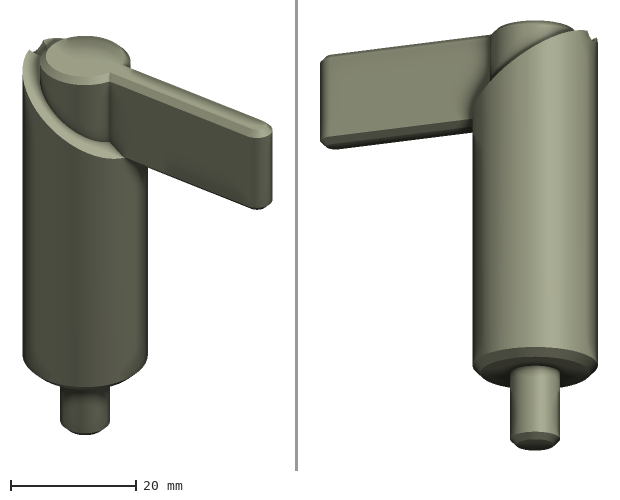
import cadquery as cq
import math

total_height = 69.0
housing_bottom = 12.0

housing_radius = 10.0
housing_chamfer = 1.25
slope_angle = 33.0
slope_high = 67.6
notch_radius = 2.0
notch_floor = 66.3

head_radius = 7.25
pin_radius = 4.0
lever_height = 15.0
lever_width = 5.0
lever_reach = 37.0
lever_chamfer = 1.0
pin_chamfer = 1.0
lever_bottom = total_height - lever_height


def make_lever():
    """Head and round-ended lever with chamfered rims, on a pin that runs down the axis."""
    tip_radius = lever_width / 2
    tip_centre = lever_reach - tip_radius
    head = cq.Workplane("XY").circle(head_radius).extrude(lever_height)
    arm = (
        cq.Workplane("XY")
        .moveTo(0, -tip_radius)
        .lineTo(tip_centre, -tip_radius)
        .threePointArc((lever_reach, 0), (tip_centre, tip_radius))
        .lineTo(0, tip_radius)
        .close()
        .extrude(lever_height)
    )
    handle = (
        head.union(arm)
        .faces("<Z or >Z")
        .edges()
        .chamfer(lever_chamfer)
        .translate((0, 0, lever_bottom))
    )
    pin = (
        cq.Workplane("XY")
        .circle(pin_radius)
        .extrude(lever_bottom)
        .faces("<Z")
        .chamfer(pin_chamfer)
    )
    return handle.union(pin)


def make_sleeve_blank():
    """Cylinder with a chamfered lower rim and a top that slopes down toward +X."""
    slope_drop = 2 * housing_radius * math.tan(math.radians(slope_angle))
    sleeve = (
        cq.Workplane("XY", origin=(0, 0, housing_bottom))
        .circle(housing_radius)
        .extrude(total_height - housing_bottom)
        .faces("<Z")
        .chamfer(housing_chamfer)
    )
    profile_below_slope = (
        cq.Workplane("XZ")
        .moveTo(-housing_radius, housing_bottom)
        .lineTo(housing_radius, housing_bottom)
        .lineTo(housing_radius, slope_high - slope_drop)
        .lineTo(-housing_radius, slope_high)
        .close()
        .extrude(housing_radius, both=True)
    )
    return sleeve.intersect(profile_below_slope)


def make_notch_cutter():
    """Cylinder along X that cuts the rounded notch in the high edge of the slope."""
    return (
        cq.Workplane("YZ", origin=(-housing_radius, 0, notch_floor + notch_radius))
        .circle(notch_radius)
        .extrude(housing_radius - head_radius)
    )


def make_housing(lever_body):
    """Notched sleeve with a seat that matches the head, the lever and the pin."""
    return make_sleeve_blank().cut(make_notch_cutter()).cut(lever_body)


lever = make_lever()
housing = make_housing(lever)

result = cq.Compound.makeCompound([housing.solids().val(), lever.solids().val()])